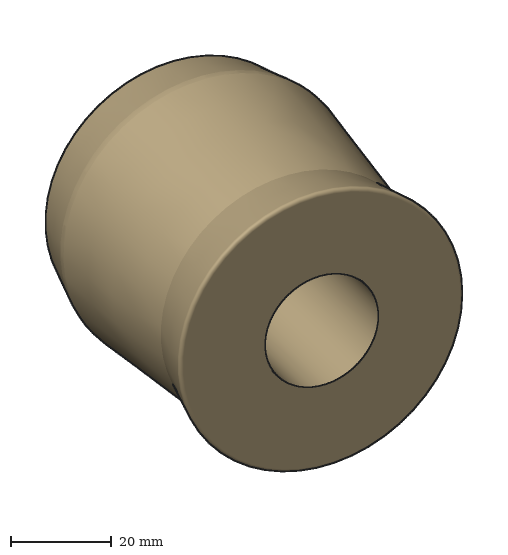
import cadquery as cq

length = 63.5
max_radius = 32.4
bore_radius = 12.65

nose_radius = 29.6
crown_x = 13.05
crown_overshoot = 0.05
crown_radius = max_radius + crown_overshoot
neck_x = 50.3
neck_radius = 29.25
rim_radius = 31.9

nose_fillet = 0.8
crown_fillet = 5.2
rim_fillet = 0.8


def ring_edge(x, radius):
    """Selector for the circular edge at position x with the given radius."""
    margin = 0.05
    reach = radius + margin
    return cq.selectors.BoxSelector(
        (x - margin, -reach, -reach), (x + margin, reach, reach), boundingbox=True
    )


body = (
    cq.Workplane("XY")
    .moveTo(0, 0)
    .lineTo(0, nose_radius)
    .lineTo(crown_x, crown_radius)
    .lineTo(neck_x, neck_radius)
    .lineTo(length, rim_radius)
    .lineTo(length, 0)
    .close()
    .revolve(360, (0, 0, 0), (1, 0, 0))
)
for x, radius, fillet in (
    (0, nose_radius, nose_fillet),
    (crown_x, crown_radius, crown_fillet),
    (length, rim_radius, rim_fillet),
):
    body = body.edges(ring_edge(x, radius)).fillet(fillet)

bore = cq.Workplane("YZ").circle(bore_radius).extrude(length)
result = body.cut(bore)